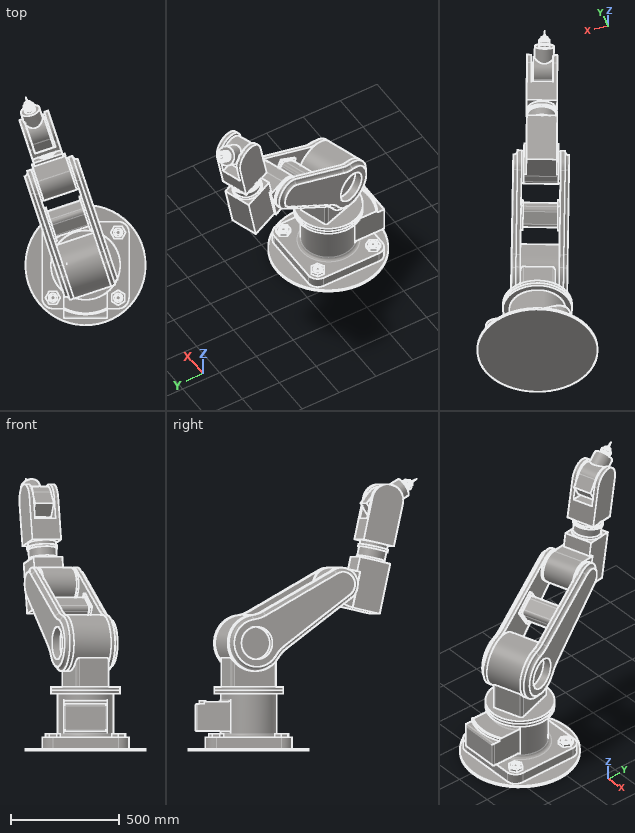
import cadquery as cq
import math


base_yaw = 18.4
forearm_lean = 12.5
tool_elevation = 31.0
arm_shift = -9.0
head_shift = -4.0
tool_shift = -9.0
shoulder_height = 496.0
elbow_forward = 420.0
elbow_height = 767.0

floor_diameter = 555.0
floor_thickness = 10.0
plate_side = 401.0
plate_corner = 50.0
plate_top = 63.0
column_diameter = 260.0
column_foot_fillet = 15.0
flange_diameter = 320.0
flange_thickness = 16.0
flange_bottom = 262.0
nut_spacing = 301.0
nut_across_corners = 69.0
nut_height = 16.0
nut_bore = 40.0
stud_diameter = 23.0
motor_width = 200.0
motor_reach = 246.0
motor_bottom = 90.0
motor_top = 215.0
motor_edge_fillet = 8.0
motor_root_fillet = 8.0
lid_top = 227.0
lid_radius = 228.0
rim_width = 6.0
rim_height = 4.0

block_width = 160.0
block_depth = 220.0
block_corner = 13.0
shoulder_diameter = 260.0
turret_bottom = flange_bottom + flange_thickness
block_bottom = turret_bottom + flange_thickness

cheek_gap = 180.0
rim_thickness = 20.0
pad_thickness = 19.0
pad_inset = 20.0
cove_radius = 18.0
cheek_shoulder_radius = shoulder_diameter / 2
cheek_elbow_radius = 78.0
cheek_waist_radius = 110.0
cheek_blend = 150.0
pivot_hole_diameter = 150.0
beam_place = 272.0
beam_length = 100.0
beam_height = 105.0
beam_corner = 20.0
beam_pad_margin = 8.0
spacer_thickness = 10.0
elbow_boss_diameter = 150.0
arm_length = math.hypot(elbow_forward, elbow_height - shoulder_height)
arm_tilt = math.degrees(math.atan2(elbow_height - shoulder_height, elbow_forward))

elbow_radius = 78.0
elbow_width = cheek_gap - 2 * spacer_thickness
limb_width = 140.0
limb_depth = 150.0
limb_axis = 147.0
limb_back = limb_axis - limb_depth / 2
saddle_thickness = 13.0
saddle_width = elbow_width
forearm_bottom = -90.0
forearm_top = 147.0
neck_diameter = 130.0
neck_foot_height = 10.0
collar_diameter = 140.0
collar_bottom = 198.0
collar_top = 209.0
fork_bottom = 228.0
fork_floor = 328.0
wrist_height = 429.0
fork_slot = 100.0

head_width = 90.0
barrel_radius = 65.0
heel_reach = 86.0
heel_height = 75.0
nose_diameter = 90.0
nose_reach = 118.0
ring_radius = 25.0
groove_radius = 20.0
first_ring_end = 129.0
first_groove_end = 135.0
second_ring_end = 147.0
second_groove_end = 153.0
chuck_radius = 15.0
chuck_end = 162.0
needle_radius = 4.0
needle_tip = 193.0


def disc(diameter, bottom, top):
    """Upright cylinder on the Z axis."""
    return cq.Workplane("XY").workplane(offset=bottom).circle(diameter / 2).extrude(top - bottom)


def block(width, depth, bottom, top):
    """Upright box centred on the Z axis."""
    return cq.Workplane("XY").workplane(offset=bottom).rect(width, depth).extrude(top - bottom)


def across(outline, width):
    """Extrude a forward/up outline sideways, evenly to both sides."""
    return outline.extrude(width / 2, both=True)


def side_view(forward=0, up=0):
    return cq.Workplane("YZ").center(forward, up)


def fillet_foot(ground, radius):
    """Round the inner corner where a raised shape stands on a flat face of the same body."""
    foot = ground.val().innerWires()[0].Edges()
    return ground.newObject(foot).fillet(radius)


def pitched(body, angle):
    """Raise the forward end of a body by an angle about the X axis."""
    return body.rotate((0, 0, 0), (1, 0, 0), angle)


def yawed(body):
    """Turn a body with the turret about the vertical axis."""
    return body.rotate((0, 0, 0), (0, 0, 1), base_yaw)


def at_elbow(body):
    leaned = pitched(body, -forearm_lean)
    return yawed(leaned.translate((arm_shift, elbow_forward, elbow_height)))


def at_wrist(body, shift):
    """Carry a body from the origin to the wrist axis, aimed along the tool."""
    lean = math.radians(forearm_lean)
    forward = elbow_forward + limb_axis * math.cos(lean) + wrist_height * math.sin(lean)
    up = elbow_height - limb_axis * math.sin(lean) + wrist_height * math.cos(lean)
    return yawed(pitched(body, tool_elevation).translate((arm_shift + shift, forward, up)))


def make_floor():
    return disc(floor_diameter, 0, floor_thickness)


def make_pedestal():
    plate = block(plate_side, plate_side, floor_thickness, plate_top).edges("|Z").fillet(plate_corner)
    pedestal = plate.union(disc(column_diameter, plate_top, flange_bottom))
    return fillet_foot(pedestal.faces("|Z").faces(">Z[-2]"), column_foot_fillet)


def add_motor(pedestal):
    """Box on the -Y side whose lid ends in a raised rim, an arc about the column axis."""
    def front_box(bottom, top):
        return block(motor_width, motor_reach, bottom, top).translate((0, -motor_reach / 2, 0))

    body = front_box(motor_bottom, motor_top).faces("<Y").edges().fillet(motor_edge_fillet)
    lid = disc(2 * lid_radius, motor_top, lid_top)
    body = body.union(lid.intersect(front_box(motor_top, lid_top)))
    front = column_diameter / 2
    root = cq.selectors.BoxSelector((-13, -front, plate_top + 25), (13, -front / 2, flange_bottom - 13))
    base = pedestal.union(body)
    base = base.edges("%CIRCLE").edges(root).fillet(motor_root_fillet)
    rim_top = lid_top + rim_height
    rim = disc(2 * lid_radius, lid_top, rim_top).cut(disc(2 * (lid_radius - rim_width), lid_top, rim_top))
    return base.union(rim.intersect(front_box(lid_top, rim_top)))


def make_nut():
    nut_top = plate_top + nut_height
    nut = cq.Workplane("XY").workplane(offset=plate_top).polygon(6, nut_across_corners).extrude(nut_height)
    nut = nut.cut(disc(nut_bore, plate_top, nut_top))
    return nut.union(disc(stud_diameter, plate_top, nut_top)).translate((nut_spacing / 2, nut_spacing / 2, 0))


def make_base():
    base = add_motor(make_pedestal())
    base = base.union(disc(flange_diameter, flange_bottom, turret_bottom))
    for quarter in range(4):
        base = base.union(make_nut().rotate((0, 0, 0), (0, 0, 1), 90 * quarter))
    return base


def make_turret():
    flange = disc(flange_diameter, turret_bottom, block_bottom)
    post = block(block_width, block_depth, block_bottom, shoulder_height).edges("|Z").fillet(block_corner)
    drum = across(side_view(0, shoulder_height).circle(shoulder_diameter / 2), cheek_gap)
    return yawed(flange.union(post).union(drum.translate((arm_shift, 0, 0))))


def cheek_outline(inset):
    """Round ends of two sizes joined by tapering edges, with a hollow blend next to the shoulder."""
    shoulder = cheek_shoulder_radius - inset
    elbow = cheek_elbow_radius - inset
    waist = cheek_waist_radius - inset
    blend = cheek_blend + inset
    taper = math.asin((waist - elbow) / arm_length)
    taper_sin, taper_cos = math.sin(taper), math.cos(taper)

    out = waist + blend
    along = math.sqrt((shoulder + blend) ** 2 - out ** 2)
    centre_y = out * taper_sin + along * taper_cos
    centre_z = out * taper_cos - along * taper_sin
    edge_angle = math.atan2(-taper_cos, -taper_sin)
    shoulder_angle = math.atan2(-centre_z, -centre_y)

    def on_blend(angle):
        return centre_y + blend * math.cos(angle), centre_z + blend * math.sin(angle)

    def below(point):
        return point[0], -point[1]

    edge_start = on_blend(edge_angle)
    blend_middle = on_blend((edge_angle + shoulder_angle) / 2)
    blend_end = on_blend(shoulder_angle)
    edge_end = (arm_length + elbow * taper_sin, elbow * taper_cos)
    return (
        cq.Workplane("YZ")
        .moveTo(*edge_start)
        .lineTo(*edge_end)
        .threePointArc((arm_length + elbow, 0), below(edge_end))
        .lineTo(*below(edge_start))
        .threePointArc(below(blend_middle), below(blend_end))
        .threePointArc((-shoulder, 0), blend_end)
        .threePointArc(blend_middle, edge_start)
        .close()
    )


def make_cheek():
    """Right cheek: rim plate, raised outer pad with a cove around it, and a boss at the elbow."""
    pad = cheek_outline(pad_inset).extrude(pad_thickness).translate((rim_thickness, 0, 0))
    cheek = cheek_outline(0).extrude(rim_thickness).union(pad)
    cheek = fillet_foot(cheek.faces("|X").faces(">X[-2]"), cove_radius)
    hole = cq.Workplane("YZ").circle(pivot_hole_diameter / 2).extrude(rim_thickness + pad_thickness)
    boss = side_view(arm_length).circle(elbow_boss_diameter / 2).extrude(-spacer_thickness)
    return cheek.cut(hole).union(boss).translate((cheek_gap / 2, 0, 0))


def make_beam():
    bar = across(side_view(beam_place).rect(beam_length, beam_height), cheek_gap)
    beam = bar.edges("|X").fillet(beam_corner)
    pad_length = beam_length + 2 * beam_pad_margin
    pad_height = beam_height + 2 * beam_pad_margin
    pads = across(side_view(beam_place).rect(pad_length, pad_height), cheek_gap)
    between_pads = across(side_view(beam_place).rect(pad_length, pad_height), elbow_width)
    return beam.union(pads.cut(between_pads))


def make_arm():
    right_cheek = make_cheek()
    left_cheek = right_cheek.mirror("YZ")
    arm = right_cheek.union(make_beam()).union(left_cheek)
    return yawed(pitched(arm, arm_tilt).translate((arm_shift, 0, shoulder_height)))


def make_forearm():
    drum = across(side_view().circle(elbow_radius), elbow_width)
    link_points = [
        (0, elbow_radius),
        (limb_back, elbow_radius),
        (limb_back, forearm_bottom),
        (0, -elbow_radius),
    ]
    link = across(side_view().polyline(link_points).close(), elbow_width)
    saddle_height = elbow_radius - forearm_bottom
    saddle = across(
        side_view(limb_back + saddle_thickness / 2, forearm_bottom + saddle_height / 2)
        .rect(saddle_thickness, saddle_height),
        saddle_width,
    )
    beyond_saddle = across(
        side_view(limb_back + saddle_thickness + elbow_radius).rect(2 * elbow_radius, 2 * elbow_radius),
        elbow_width,
    )
    box = block(limb_width, limb_depth, forearm_bottom, forearm_top)
    collar = disc(collar_diameter, collar_bottom, collar_top)
    neck = disc(neck_diameter, forearm_top, collar_bottom).union(collar)
    foot = cq.Workplane(cq.Solid.makeCone(collar_diameter / 2, neck_diameter / 2, neck_foot_height))
    neck = neck.union(foot.translate((0, 0, forearm_top)))
    limb = box.union(neck).translate((0, limb_axis, 0))
    return at_elbow(drum.cut(beyond_saddle).union(link).union(saddle).union(limb))


def make_fork():
    half = limb_depth / 2
    crown = across(side_view(0, wrist_height).circle(half), limb_width)
    body = block(limb_width, limb_depth, fork_bottom, wrist_height).union(crown)
    slot = block(fork_slot, limb_depth, fork_floor, wrist_height + half)
    neck = disc(neck_diameter, collar_top, fork_bottom)
    return at_elbow(body.cut(slot).union(neck).translate((0, limb_axis, 0)))


def make_head():
    heel_corner = math.hypot(heel_reach, heel_height / 2)
    touch_angle = math.atan2(heel_height / 2, heel_reach) + math.acos(barrel_radius / heel_corner)
    touch_back = -barrel_radius * math.cos(touch_angle)
    touch_up = barrel_radius * math.sin(touch_angle)
    heel_points = [
        (touch_back, touch_up),
        (-heel_reach, heel_height / 2),
        (-heel_reach, -heel_height / 2),
        (touch_back, -touch_up),
    ]
    barrel = across(side_view().circle(barrel_radius), head_width)
    heel = across(side_view().polyline(heel_points).close(), head_width)
    nose = cq.Workplane("XZ").circle(nose_diameter / 2).extrude(-nose_reach)
    nose = nose.translate((tool_shift - head_shift, 0, 0))
    fork_bore = cq.Workplane("XZ").rect(head_width, nose_diameter).extrude(-limb_depth / 2)
    fork_zone = cq.Workplane("XZ").rect(2 * limb_width, nose_diameter).extrude(-limb_depth / 2)
    nose = nose.cut(fork_zone.cut(fork_bore))
    return at_wrist(barrel.union(heel).union(nose), head_shift)


def make_tool():
    steps = [
        (ring_radius, first_ring_end),
        (groove_radius, first_groove_end),
        (ring_radius, second_ring_end),
        (groove_radius, second_groove_end),
        (chuck_radius, chuck_end),
    ]
    profile = cq.Workplane("XY").moveTo(0, nose_reach)
    start = nose_reach
    for radius, end in steps:
        profile = profile.lineTo(radius, start).lineTo(radius, end)
        start = end
    profile = profile.lineTo(needle_radius, chuck_end).lineTo(0, needle_tip).close()
    return at_wrist(profile.revolve(360, (0, 0, 0), (0, 1, 0)), tool_shift)


floor = make_floor()
base = make_base()
turret = make_turret()
arm = make_arm()
forearm = make_forearm()
fork = make_fork()
head = make_head()
tool = make_tool()

result = cq.Compound.makeCompound([
    *floor.vals(),
    *base.solids().vals(),
    *turret.solids().vals(),
    *arm.solids().vals(),
    *forearm.solids().vals(),
    *fork.solids().vals(),
    *head.solids().vals(),
    *tool.vals(),
])